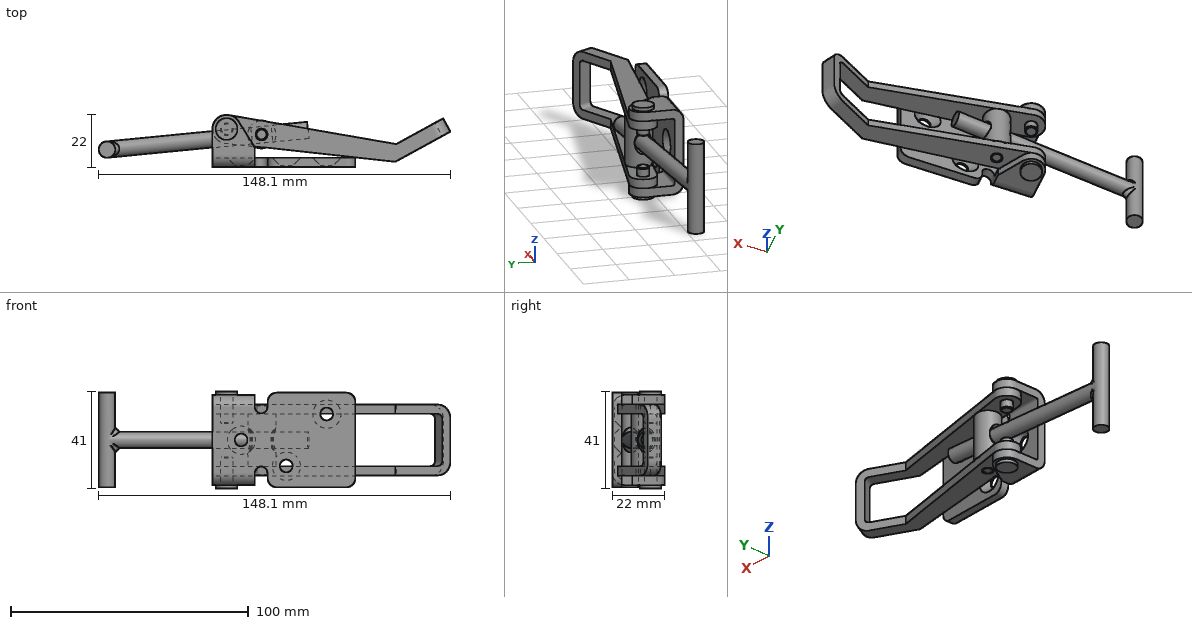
import cadquery as cq
import math


overall_length = 148.1
sheet = 4.0
base_length = 60.3
base_width = 40.0
base_corner_radius = 4.0
ear_length = 17.9
ear_outer_z = 19.0
ear_inner_z = ear_outer_z - sheet
bend_inner_radius = 1.0
bend_outer_radius = bend_inner_radius + sheet
ear_shoulder_y = 8.3
relief_width = 5.3
relief_centre_z = ear_outer_z - bend_outer_radius
mount_hole_diameter = 5.3
mount_hole_straight = 0.7
mount_holes = [(12.1, 0.0), (31.1, -11.0), (48.1, 11.0)]

pivot_radius = 12.0 / 2
pivot_x = pivot_radius
pivot_y = 22.0 - pivot_radius
rivet_radius = 2.7
rivet_head_radius = 4.6
rivet_head_z = 41.0 / 2
rivet_tip_z = 7.1
rivet_tip_chamfer = 0.5

lever_outer_z = ear_inner_z
lever_inner_z = lever_outer_z - sheet
elbow_low = (77.0, 2.2)
elbow_high = (77.5, 9.8)
grip_angle = 28.7
grip_length = 26.5
cos_grip = math.cos(math.radians(grip_angle))
sin_grip = math.sin(math.radians(grip_angle))
lever_tip_low = (elbow_low[0] + grip_length * cos_grip, elbow_low[1] + grip_length * sin_grip)
grip_inner_radius = sheet / 2
grip_outer_radius = grip_inner_radius + sheet

trunnion_x = 20.7
trunnion_y = 13.8
trunnion_radius = 5.9
journal_radius = 2.0
journal_hole_chamfer = 0.5
rod_hole_countersink = 1.6

rod_radius = 7.0 / 2
handle_radius = rod_radius
handle_length = base_width
handle_y = 7.4
handle_x = lever_tip_low[0] - overall_length + handle_radius
rod_tip_x = 40.3
weld_size = 1.8

rod_angle = math.degrees(math.atan2(trunnion_y - handle_y, trunnion_x - handle_x))
rod_length = (rod_tip_x - handle_x) / math.cos(math.radians(rod_angle))


def tangent_point(point, side):
    """Point where the line from `point` touches the pivot circle; side +1 is above, -1 below."""
    dx = point[0] - pivot_x
    dy = point[1] - pivot_y
    angle = math.atan2(dy, dx) + side * math.acos(pivot_radius / math.hypot(dx, dy))
    return (pivot_x + pivot_radius * math.cos(angle), pivot_y + pivot_radius * math.sin(angle))


def cylinder_z(x, y, radius, z_from, z_to):
    return cq.Workplane("XY", origin=(x, y, z_from)).circle(radius).extrude(z_to - z_from)


def along_rod(x, y):
    """Workplane at (x, y) whose normal points along the rod."""
    direction = (math.cos(math.radians(rod_angle)), math.sin(math.radians(rod_angle)), 0)
    return cq.Workplane(cq.Plane(origin=(x, y, 0), xDir=(0, 0, 1), normal=direction))


def make_base():
    channel = (
        cq.Workplane("XY")
        .box(ear_length, pivot_y + pivot_radius, 2 * ear_outer_z, centered=(False, False, True))
        .edges("|X and <Y")
        .fillet(bend_outer_radius)
    )
    channel_space = (
        cq.Workplane("XY", origin=(0, sheet, 0))
        .box(ear_length, pivot_y + pivot_radius, 2 * ear_inner_z, centered=(False, False, True))
        .edges("|X and <Y")
        .fillet(bend_inner_radius)
    )
    ear_outline = (
        cq.Workplane("XY", origin=(0, 0, -ear_outer_z))
        .moveTo(0, 0)
        .lineTo(ear_length, 0)
        .lineTo(ear_length, ear_shoulder_y)
        .lineTo(*tangent_point((ear_length, ear_shoulder_y), 1))
        .threePointArc((pivot_x, pivot_y + pivot_radius), (0, pivot_y))
        .close()
        .extrude(2 * ear_outer_z)
    )
    base = channel.cut(channel_space).intersect(ear_outline)

    plate_start = ear_length + relief_width
    plate = (
        cq.Workplane("XY", origin=(plate_start, 0, 0))
        .box(base_length - plate_start, sheet, base_width, centered=(False, False, True))
        .edges("|Y")
        .fillet(base_corner_radius)
    )
    neck = cq.Workplane("XY", origin=(ear_length, 0, 0)).box(
        relief_width + base_corner_radius, sheet, 2 * relief_centre_z, centered=(False, False, True)
    )
    base = base.union(neck).union(plate)

    relief_points = [(ear_length + relief_width / 2, side * relief_centre_z) for side in (1, -1)]
    reliefs = (
        cq.Workplane("XZ").pushPoints(relief_points).circle(relief_width / 2).extrude(-sheet)
    )
    holes = (
        cq.Workplane("XZ", origin=(0, sheet, 0))
        .pushPoints(mount_holes)
        .circle(mount_hole_diameter / 2)
        .extrude(sheet)
    )
    flare = sheet - mount_hole_straight
    for x, z in mount_holes:
        countersink = cq.Solid.makeCone(
            mount_hole_diameter / 2,
            mount_hole_diameter / 2 + flare,
            flare,
            cq.Vector(x, mount_hole_straight, z),
            cq.Vector(0, 1, 0),
        )
        holes = holes.union(cq.Workplane(countersink))
    rivet_holes = cylinder_z(pivot_x, pivot_y, rivet_radius, -ear_outer_z, ear_outer_z)
    return base.cut(reliefs).cut(holes).cut(rivet_holes)


def make_lever():
    grip_depth = (
        (elbow_high[1] - elbow_low[1]) * cos_grip - (elbow_high[0] - elbow_low[0]) * sin_grip
    )
    tip_high = (lever_tip_low[0] - grip_depth * sin_grip, lever_tip_low[1] + grip_depth * cos_grip)
    solid = (
        cq.Workplane("XY", origin=(0, 0, -lever_outer_z))
        .moveTo(*tangent_point(elbow_low, -1))
        .lineTo(*elbow_low)
        .lineTo(*lever_tip_low)
        .lineTo(*tip_high)
        .lineTo(*elbow_high)
        .lineTo(*tangent_point(elbow_high, 1))
        .threePointArc((pivot_x - pivot_radius, pivot_y), tangent_point(elbow_low, -1))
        .close()
        .extrude(2 * lever_outer_z)
    )
    grip_plane = cq.Plane(origin=(*lever_tip_low, 0), xDir=(cos_grip, sin_grip, 0), normal=(0, 0, 1))

    def grip_block(end, half_width, radius):
        reach = 2 * lever_tip_low[0]
        return (
            cq.Workplane(grip_plane)
            .center(end - reach / 2, 0)
            .box(reach, reach, 2 * half_width)
            .edges(cq.selectors.ParallelDirSelector(cq.Vector(-sin_grip, cos_grip, 0)))
            .fillet(radius)
        )

    lever = solid.intersect(grip_block(0, lever_outer_z, grip_outer_radius))
    lever = lever.cut(grip_block(-sheet, lever_inner_z, grip_inner_radius))
    rivet_holes = cylinder_z(pivot_x, pivot_y, rivet_radius, -lever_outer_z, lever_outer_z)
    journal_holes = cylinder_z(trunnion_x, trunnion_y, journal_radius, -lever_outer_z, lever_outer_z)
    lever = lever.cut(rivet_holes).cut(journal_holes)
    mouths = cq.selectors.BoxSelector(
        (trunnion_x - trunnion_radius, trunnion_y - trunnion_radius, -2 * lever_outer_z),
        (trunnion_x + trunnion_radius, trunnion_y + trunnion_radius, 2 * lever_outer_z),
    )
    return lever.faces("<Z or >Z").edges("%CIRCLE").edges(mouths).chamfer(journal_hole_chamfer)


def make_trunnion():
    body = cylinder_z(trunnion_x, trunnion_y, trunnion_radius, -lever_inner_z, lever_inner_z)
    rod_hole = along_rod(trunnion_x, trunnion_y).circle(rod_radius).extrude(trunnion_radius * 2, both=True)
    body = body.cut(rod_hole)
    mouth_radius = rod_radius + rod_hole_countersink
    cone = cq.Solid.makeCone(
        mouth_radius, 0, mouth_radius, cq.Vector(-trunnion_radius, 0, 0), cq.Vector(1, 0, 0)
    )
    for turn in (rod_angle, rod_angle + 180):
        placed_cone = cone.rotate(cq.Vector(), cq.Vector(0, 0, 1), turn)
        body = body.cut(cq.Workplane(placed_cone.translate(cq.Vector(trunnion_x, trunnion_y, 0))))
    journals = cylinder_z(trunnion_x, trunnion_y, journal_radius, -lever_outer_z, lever_outer_z)
    return body.union(journals.cut(rod_hole))


def make_rod():
    handle = cylinder_z(handle_x, handle_y, handle_radius, -handle_length / 2, handle_length / 2)
    rod = along_rod(handle_x, handle_y).circle(rod_radius).extrude(rod_length)
    return handle.union(rod).union(make_weld())


def make_weld():
    half_span = (2 * rod_radius + weld_size) / math.sqrt(2)

    def prism(tilt):
        ellipse = cq.Workplane("XY").ellipse(half_span, rod_radius)
        return ellipse.extrude(2 * half_span, both=True).rotate((0, 0, 0), (0, 1, 0), tilt)

    rod_side = cq.Workplane("XY").box(
        2 * half_span, 2 * half_span, 4 * half_span, centered=(False, True, True)
    )
    weld = prism(45).intersect(prism(-45)).intersect(rod_side)
    return weld.rotate((0, 0, 0), (0, 0, 1), rod_angle).translate((handle_x, handle_y, 0))


def make_rivet(side):
    shank = cylinder_z(pivot_x, pivot_y, rivet_radius, rivet_tip_z, ear_outer_z)
    shank = shank.faces("<Z").chamfer(rivet_tip_chamfer)
    head = cylinder_z(pivot_x, pivot_y, rivet_head_radius, ear_outer_z, rivet_head_z)
    rivet = shank.union(head)
    return rivet if side > 0 else rivet.mirror("XY")


base = make_base()
lever = make_lever()
trunnion = make_trunnion()
rod = make_rod()
rivets = [make_rivet(side) for side in (1, -1)]

result = cq.Compound.makeCompound(
    [base.val(), lever.val(), trunnion.val(), rod.val(), *(rivet.val() for rivet in rivets)]
)